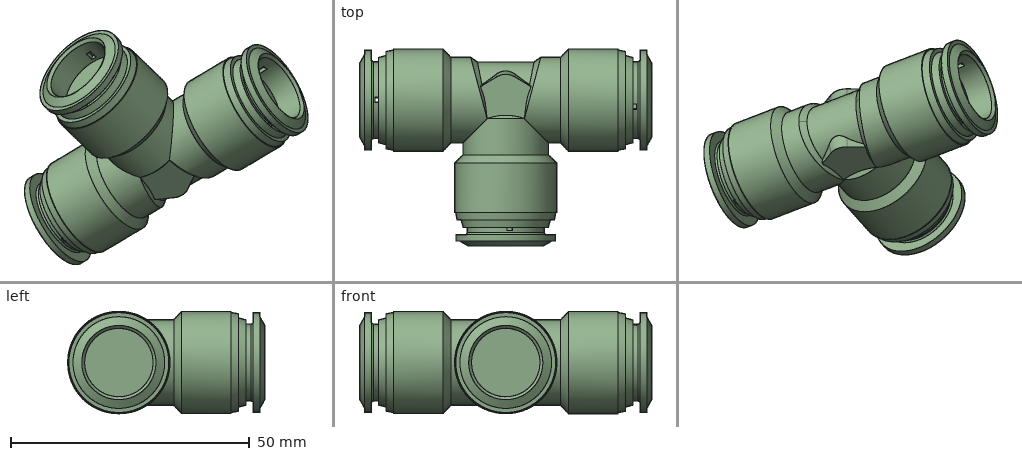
import cadquery as cq
import math

arm_length = 30.6
pipe_radius = 9.0
socket_diameter = 21.5
socket_radius = socket_diameter / 2

pipe_end = 11.5
socket_start = 13.15
socket_end = 23.5
cap_rim_end = 25.1
cap_end = 26.7
flare_start = 27.7
flange_start = 28.15
flange_end = 29.55

cap_rim_radius = 10.5
cap_rim_tip_radius = 10.2
cap_nose_radius = 9.35
cap_nose_tip_radius = 8.95
neck_radius = 8.1
flare_radius = 8.3
flange_radius = 10.45
flange_shoulder_radius = 9.6
mouth_radius = 7.8
bore_radius = 7.15
bore_bottom = 24.8
mouth_chamfer = mouth_radius - bore_radius

slot_width = 1.1
slot_start = 25.45
slot_end = 27.35
slot_reach = 8.2
slot_turn_left = 1.0
slot_turn_right = 10.0
slot_turn_branch = -6.0

core_radius = 8.0
waist_front_y = -3.85
waist_front_half = 3.9
waist_back_half = 7.35
core_front_half = 3.6
core_back_half = 6.1
branch_slope_length = 0.75

pad_height = 8.1
pad_half_width = 5.2
pad_eave_y = 2.9
pad_roof_angle = 31.0
pad_peak_radius = 3.7
pad_draft = 14.0


def arm(slot_turn):
    """One arm pointing along +Z, with its collet slots at +X and -X before the turn."""
    profile = [
        (0, 0),
        (pipe_radius, 0),
        (pipe_radius, pipe_end),
        (socket_radius, socket_start),
        (socket_radius, socket_end),
        (cap_rim_radius, socket_end),
        (cap_rim_tip_radius, cap_rim_end),
        (cap_nose_radius, cap_rim_end),
        (cap_nose_tip_radius, cap_end),
        (neck_radius, cap_end),
        (neck_radius, flare_start),
        (flare_radius, flange_start),
        (flange_radius, flange_start),
        (flange_radius, flange_end),
        (flange_shoulder_radius, flange_end),
        (mouth_radius, arm_length),
        (bore_radius, arm_length - mouth_chamfer),
        (bore_radius, bore_bottom),
        (0, bore_bottom),
    ]
    body = cq.Workplane("XZ").polyline(profile).close().revolve(360, (0, 0, 0), (0, 1, 0))
    slot_length = slot_end - slot_start
    slots = (
        cq.Workplane("XY", origin=(0, 0, slot_start))
        .box(2 * slot_reach, slot_width, slot_length, centered=(True, True, False))
        .rotate((0, 0, 0), (0, 0, 1), slot_turn)
    )
    return body.cut(slots)


def waist_prism(front_half, back_half):
    """Upright block with slanted ends, reaching beyond the back of the run."""
    slope = (back_half - front_half) / (pipe_radius - waist_front_y)
    back_y = 2 * pipe_radius
    far_half = front_half + slope * (back_y - waist_front_y)
    outline = [
        (-front_half, waist_front_y),
        (front_half, waist_front_y),
        (far_half, back_y),
        (-far_half, back_y),
    ]
    return cq.Workplane("XY").polyline(outline).close().extrude(2 * pipe_radius, both=True)


def run_cylinder(radius):
    """Plain cylinder along the run, longer than the recess."""
    return cq.Workplane("YZ").circle(radius).extrude(arm_length / 2, both=True)


def end_wall():
    """Sloping wall at the +X end of the recess, ruled from the pipe down to the core."""
    outer = run_cylinder(pipe_radius).intersect(waist_prism(waist_front_half, waist_back_half))
    inner = run_cylinder(core_radius).intersect(waist_prism(core_front_half, core_back_half))
    outer_rim = outer.faces(">X").val().outerWire()
    inner_rim = inner.faces(">X").val().outerWire()
    return cq.Workplane(cq.Solid.makeLoft([outer_rim, inner_rim], True))


def branch_slope():
    """Conical step from the branch down to the core radius."""
    cone = cq.Solid.makeCone(
        pipe_radius, core_radius, branch_slope_length,
        cq.Vector(0, waist_front_y, 0), cq.Vector(0, 1, 0),
    )
    return cq.Workplane(cone)


def pad():
    """Drafted pad with a rounded gable, on the top and the bottom of the waist."""
    pitch = math.radians(pad_roof_angle)
    ridge_y = pad_eave_y + pad_half_width * math.tan(pitch)
    tangent_x = pad_peak_radius * math.sin(pitch)
    tangent_y = ridge_y - tangent_x * math.tan(pitch)
    peak_y = tangent_y + pad_peak_radius * (1 - math.cos(pitch))
    top = (
        cq.Workplane("XY", origin=(0, 0, pad_height))
        .moveTo(-pad_half_width, waist_front_y)
        .lineTo(pad_half_width, waist_front_y)
        .lineTo(pad_half_width, pad_eave_y)
        .lineTo(tangent_x, tangent_y)
        .threePointArc((0, peak_y), (-tangent_x, tangent_y))
        .lineTo(-pad_half_width, pad_eave_y)
        .close()
        .extrude(-pad_height, taper=-pad_draft)
    )
    return top.union(top.mirror("XY"))


right_arm = arm(slot_turn_right).rotate((0, 0, 0), (0, 1, 0), 90)
left_arm = arm(slot_turn_left).rotate((0, 0, 0), (0, 1, 0), -90)
branch_arm = arm(slot_turn_branch).rotate((0, 0, 0), (0, 0, 1), 90).rotate((0, 0, 0), (1, 0, 0), 90)

right_wall = end_wall()
recess_block = waist_prism(waist_front_half, waist_back_half)
recess = (
    recess_block
    .cut(run_cylinder(core_radius))
    .cut(right_wall)
    .cut(right_wall.mirror("YZ"))
    .cut(branch_slope())
)

tee = right_arm.union(left_arm).union(branch_arm)
result = tee.cut(recess).union(pad().intersect(recess_block))